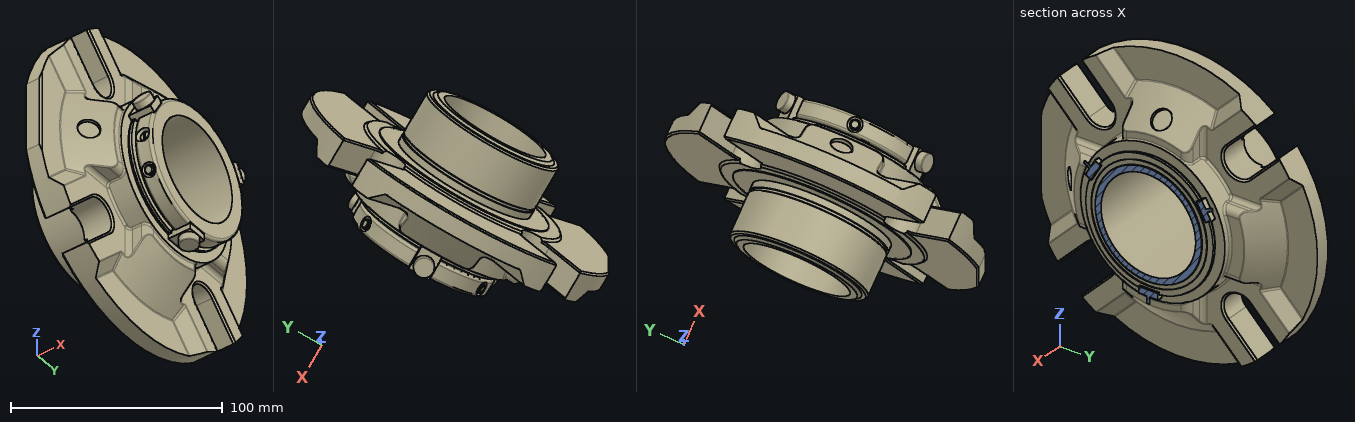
import cadquery as cq
import math


BORE_D = 55.0
SLEEVE_D = 71.7
SLEEVE_START = -30.8
NOSE_D = 66.0
NOSE_FACE_D = 62.5
NOSE_END = -29.5
SHOULDER_D = 69.9
SHOULDER_END = -28.5
GROOVE_START = -7.0
GROOVE_END = -5.3
GROOVE_D = 69.9

FLANGE_R = 82.5
FLANGE_FLAT_Y = -80.0
FLANGE_THICK = 9.4
FLANGE_CHAMFER = 0.8
FLAT_CHAMFER = 1.0
PILOT_D = 107.5
PILOT_FACE_D = 105.2
PILOT_HEIGHT = 1.2
INNER_PILOT_D = 92.2
INNER_PILOT_HEIGHT = 1.6

SLOT_W = 18.3
SLOT_CENTER_R = 57.9
PAD_TOP_X = 15.8
PAD_TOP_HALF_W = 19.8
PAD_CHAMFER = 1.0
SLOT_ANGLES = (45, 135, 225, 315)

GLAND_START = FLANGE_THICK / 2
HUB_D = 84.4
HUB_END = 28.4
CONE_APEX_X = 74.5
ARM_HALF_W = 20.0
ARM_END = 27.7
SHORT_ARM_END = 24.2
ARM_ROUND = 4.0
ARM_FOOT_ROUND = 2.5
ARM_EDGE_ROUND = 0.7
FOOT_ROUND = 0.8
PAD_FOOT_ROUND = 1.8
HUB_FOOT_ROUND = 1.2
TOLERANCE = 0.02
PORT_D = 11.0
PORT_AT_Y_X = 19.3
PORT_AT_Z_X = 21.6
PORT_DEPTH = 2.0

LIP_D = 73.0
LIP_END = 29.5
RING_D = 74.5
RING_END = 31.0
RING_STEP_D = 67.6
RING_STEP_END = 31.5
NECK_D = 62.5
COLLAR_D = 73.0
COLLAR_START = 32.0
COLLAR_END = 41.7
COLLAR_ROUND = 1.5

CLIP_ANGLES = (30, 150, 270)
CLIP_START = 28.8
CLIP_HALF_W = 5.6
CLIP_INNER_R = 35.5
CLIP_OUTER_R = 39.4
CLIP_HEAD_D = 10.0
CLIP_HEAD_TOP_R = 43.5
CLIP_HEAD_ROUND = 0.3
SCREW_X = 37.0
PART_END = SLEEVE_START + 72.7
CLIP_HEAD_X = PART_END - CLIP_HEAD_D / 2

SET_SCREW_ANGLES = (90, 210, 330)
SET_SCREW_SEAT_D = 7.6
SET_SCREW_D = 5.0
SET_SCREW_TIP_D = 3.8
SET_SCREW_TOP_R = 37.0
SLOTTED_SCREW_ANGLE = 180
SLOTTED_SEAT_D = 7.9
SLOTTED_SCREW_D = 5.0
SCREW_SEAT_DEPTH = 1.5
DRIVER_SLOT_W = 1.0
DRIVER_SLOT_DEPTH = 0.8


def disc(diameter, start, end):
    """Solid disc about the X axis between two X positions."""
    return cq.Workplane("YZ").workplane(offset=start).circle(diameter / 2).extrude(end - start)


def revolve_x(points):
    """Turn an (x, radius) outline about the X axis."""
    return cq.Workplane("XY").polyline(points).close().revolve(360, (0, 0, 0), (1, 0, 0))


def around_x(body, angle):
    """Turn a body made along +Y to an angle measured from +Y toward +Z."""
    return body.rotate((0, 0, 0), (1, 0, 0), angle)


def at_angles(body, angles):
    """One body made of copies turned from +Y to each angle."""
    copies = around_x(body, angles[0])
    for angle in angles[1:]:
        copies = copies.union(around_x(body, angle))
    return copies


def radial_plane(radius, x):
    """Workplane facing +Y at a given radius, with its X direction along the part axis."""
    return cq.Workplane(cq.Plane((x, radius, 0), xDir=(1, 0, 0), normal=(0, 1, 0)))


def cone_radius(x):
    """Radius of the 45 degree gland cone."""
    return CONE_APEX_X - x


def make_sleeve():
    return revolve_x([
        (SLEEVE_START, 0),
        (SLEEVE_START, NOSE_FACE_D / 2),
        (NOSE_END, NOSE_D / 2),
        (NOSE_END, SHOULDER_D / 2),
        (SHOULDER_END, SLEEVE_D / 2),
        (GROOVE_START, SLEEVE_D / 2),
        (GROOVE_START, GROOVE_D / 2),
        (GROOVE_END, GROOVE_D / 2),
        (GROOVE_END, SLEEVE_D / 2),
        (0, SLEEVE_D / 2),
        (0, 0),
    ])


def make_slots(flared):
    """Open-ended bolt slots with round inner ends; a flare bevels both rims of the flange."""
    outer_end = FLANGE_R + SLOT_W
    outline_center = (SLOT_CENTER_R + outer_end) / 2
    outline_length = outer_end - SLOT_CENTER_R + SLOT_W

    def outline(x):
        return cq.Workplane("YZ", origin=(x, outline_center, 0)).slot2D(outline_length, SLOT_W)

    slot = outline(-INNER_PILOT_HEIGHT).extrude(HUB_END + INNER_PILOT_HEIGHT)
    if flared:
        slot = slot.union(outline(PAD_TOP_X - PAD_CHAMFER).extrude(PAD_CHAMFER, taper=-45))
        slot = slot.union(outline(FLANGE_CHAMFER).extrude(-FLANGE_CHAMFER, taper=-45))
    return at_angles(slot, SLOT_ANGLES)


def make_pads():
    """Raised pads along each slot, with 45 degree sides down to the flange."""
    base_half_w = PAD_TOP_HALF_W + PAD_TOP_X - FLANGE_THICK
    pad = (
        cq.Workplane(cq.Plane((0, 0, 0), xDir=(0, 0, 1), normal=(0, 1, 0)))
        .polyline([
            (-base_half_w, 0),
            (-base_half_w, FLANGE_THICK),
            (-PAD_TOP_HALF_W, PAD_TOP_X),
            (PAD_TOP_HALF_W, PAD_TOP_X),
            (base_half_w, FLANGE_THICK),
            (base_half_w, 0),
        ])
        .close()
        .extrude(FLANGE_R + 1.6)
    )
    return at_angles(pad, SLOT_ANGLES).intersect(disc(2 * FLANGE_R, 0, PAD_TOP_X))


def make_flange():
    """Round flange with one flat, and its pads."""
    flange = disc(2 * FLANGE_R, 0, FLANGE_THICK).union(make_pads())
    keep = FLANGE_R - FLANGE_FLAT_Y
    trim = cq.Workplane("XY").box(3 * HUB_END, keep, 3 * FLANGE_R)
    flange = flange.intersect(trim.translate((0, FLANGE_FLAT_Y + keep / 2, 0)))
    flange = flange.faces("<X").edges().chamfer(FLANGE_CHAMFER)
    return flange.faces("<Y").edges(">X").chamfer(FLAT_CHAMFER)


def make_pilot():
    """Stepped locating face in front of the flange."""
    return revolve_x([
        (FLANGE_THICK, 0),
        (FLANGE_THICK, PILOT_D / 2),
        (0, PILOT_D / 2),
        (-PILOT_HEIGHT, PILOT_FACE_D / 2),
        (-PILOT_HEIGHT, INNER_PILOT_D / 2),
        (-INNER_PILOT_HEIGHT, INNER_PILOT_D / 2),
        (-INNER_PILOT_HEIGHT, 0),
    ])


def make_cone():
    return revolve_x([
        (GLAND_START, 0),
        (GLAND_START, cone_radius(FLANGE_THICK)),
        (FLANGE_THICK, cone_radius(FLANGE_THICK)),
        (ARM_END, cone_radius(ARM_END)),
        (ARM_END, 0),
    ])


def end_points(edge):
    """The (x, radius) pairs at both ends of an edge, sorted along the axis."""
    points = (edge.startPoint(), edge.endPoint())
    return sorted((point.x, math.hypot(point.y, point.z)) for point in points)


def on_cone(edge):
    """True when both ends of an edge lie on the gland cone."""
    return all(abs(radius - cone_radius(x)) < TOLERANCE for x, radius in end_points(edge))


def on_hub(edge):
    """True when both ends of an edge lie on the hub cylinder."""
    return all(abs(radius - HUB_D / 2) < TOLERANCE for x, radius in end_points(edge))


def fillet_where(body, radius, wanted):
    """Round every edge of a body that meets a condition."""
    return body.newObject(body.edges().filter(wanted).vals()).fillet(radius)


def blends_pad(edge):
    """Edge where the cone rises from the sides or the top of a pad."""
    return on_cone(edge) and FLANGE_THICK + TOLERANCE < end_points(edge)[1][0] < PAD_TOP_X + TOLERANCE


def blends_cone_foot(edge):
    """Edge where the cone rises from the flange itself."""
    return on_cone(edge) and end_points(edge)[1][0] < FLANGE_THICK + TOLERANCE


def bounds_arm_side(edge):
    """Edge between the cone and the flank of an arm."""
    low, high = end_points(edge)
    return on_cone(edge) and low[0] > PAD_TOP_X + 1.6 and high[0] - low[0] > 1.6


def bounds_pocket_bottom(edge):
    """Edge along the hub at the floor of a pocket."""
    return on_hub(edge) and end_points(edge)[0][0] < PAD_TOP_X + TOLERANCE


def make_side_cut(end_x):
    """Space beside the +Y arm, on its +Z side: concave foot, flat flank and rounded top."""
    turn = 1 - math.sqrt(0.5)
    flank_top = end_x - ARM_ROUND
    flank_foot = PAD_TOP_X + ARM_FOOT_ROUND
    return (
        cq.Workplane(cq.Plane((0, 0, 0), xDir=(0, 0, 1), normal=(0, 1, 0)))
        .moveTo(FLANGE_R, PAD_TOP_X)
        .lineTo(ARM_HALF_W + ARM_FOOT_ROUND, PAD_TOP_X)
        .threePointArc(
            (ARM_HALF_W + ARM_FOOT_ROUND * turn, PAD_TOP_X + ARM_FOOT_ROUND * turn),
            (ARM_HALF_W, flank_foot),
        )
        .lineTo(ARM_HALF_W, flank_top)
        .threePointArc(
            (ARM_HALF_W - ARM_ROUND * turn, end_x - ARM_ROUND * turn),
            (ARM_HALF_W - ARM_ROUND, end_x),
        )
        .lineTo(ARM_HALF_W - ARM_ROUND, HUB_END)
        .lineTo(FLANGE_R, HUB_END)
        .close()
        .extrude(FLANGE_R)
    )


def make_pocket(near_end, far_end):
    """Corner pocket between the +Y arm and the +Z arm, given the end position of each."""
    beside_far_arm = around_x(make_side_cut(far_end).mirror("XY"), 90)
    return make_side_cut(near_end).intersect(beside_far_arm)


def make_port(x):
    """Shallow round recess square to the cone, along +Y."""
    slope = math.sqrt(0.5)
    plane = cq.Plane((x, cone_radius(x), 0), xDir=(0, 0, 1), normal=(slope, slope, 0))
    return cq.Workplane(plane).circle(PORT_D / 2).extrude(PORT_D).union(
        cq.Workplane(plane).circle(PORT_D / 2).extrude(-PORT_DEPTH))


def cut_arms(body):
    """Cut the corner pockets into the cone and shorten the +Y arm."""
    arm_ends = (SHORT_ARM_END, ARM_END, ARM_END, ARM_END)
    for i in range(4):
        pocket = make_pocket(arm_ends[i], arm_ends[(i + 1) % 4])
        body = body.cut(around_x(pocket, 90 * i))
    short_arm_trim = cq.Workplane("YZ").workplane(offset=SHORT_ARM_END).center(FLANGE_R / 2, 0)
    return body.cut(short_arm_trim.rect(FLANGE_R, 2 * ARM_HALF_W).extrude(HUB_END))


def make_gland():
    """Flange and gland in one piece, with the bolt slots and the ports."""
    gland = make_flange().union(make_cone())
    gland = fillet_where(gland, PAD_FOOT_ROUND, blends_pad)
    gland = fillet_where(gland, FOOT_ROUND, blends_cone_foot)
    gland = fillet_where(cut_arms(gland), ARM_EDGE_ROUND, bounds_arm_side)
    gland = gland.union(disc(HUB_D, GLAND_START, HUB_END))
    gland = fillet_where(gland, HUB_FOOT_ROUND, bounds_pocket_bottom)
    gland = gland.cut(make_slots(flared=True))
    gland = gland.union(make_pilot().cut(make_slots(flared=False)))
    gland = gland.cut(around_x(make_port(PORT_AT_Z_X), 90))
    return gland.cut(around_x(make_port(PORT_AT_Y_X), 180))


def make_collar():
    neck = (
        disc(LIP_D, HUB_END, LIP_END)
        .union(disc(RING_D, LIP_END, RING_END))
        .union(disc(RING_STEP_D, RING_END, RING_STEP_END))
        .union(disc(NECK_D, RING_STEP_END, COLLAR_START))
    )
    collar = disc(COLLAR_D, COLLAR_START, COLLAR_END).edges().fillet(COLLAR_ROUND)
    return neck.union(collar)


def make_clip():
    """Setting clip along +Y: flat plate with a round screw head."""
    depth = CLIP_OUTER_R - CLIP_INNER_R
    middle_x = (CLIP_START + COLLAR_END) / 2
    plate = radial_plane(CLIP_INNER_R, middle_x).rect(COLLAR_END - CLIP_START, 2 * CLIP_HALF_W).extrude(depth)
    shank = radial_plane(NECK_D / 2, CLIP_HEAD_X).circle(CLIP_HALF_W / 2).extrude(CLIP_OUTER_R - NECK_D / 2)
    head = (
        radial_plane(CLIP_OUTER_R, CLIP_HEAD_X)
        .circle(CLIP_HEAD_D / 2)
        .extrude(CLIP_HEAD_TOP_R - CLIP_OUTER_R)
        .faces(">Y").edges().fillet(CLIP_HEAD_ROUND)
    )
    return plate.union(shank).union(head)


def make_seat(outer_d, inner_d):
    """Conical countersink along +Y in the collar surface."""
    bottom_r = COLLAR_D / 2 - SCREW_SEAT_DEPTH
    return (
        radial_plane(bottom_r, SCREW_X)
        .circle(inner_d / 2)
        .workplane(offset=SCREW_SEAT_DEPTH)
        .circle(outer_d / 2)
        .loft()
    )


def make_set_screw():
    bottom_r = COLLAR_D / 2 - 2 * SCREW_SEAT_DEPTH
    tip_chamfer = (SET_SCREW_D - SET_SCREW_TIP_D) / 2
    screw = radial_plane(bottom_r, SCREW_X).circle(SET_SCREW_D / 2).extrude(SET_SCREW_TOP_R - bottom_r)
    return screw.faces(">Y").edges().chamfer(tip_chamfer)


def make_driver_slot():
    top_r = COLLAR_D / 2 - SCREW_SEAT_DEPTH
    return radial_plane(top_r, SCREW_X).rect(DRIVER_SLOT_W, SLOTTED_SCREW_D).extrude(-DRIVER_SLOT_DEPTH)


body = make_gland().union(make_sleeve()).union(make_collar())
for angle in SET_SCREW_ANGLES:
    body = body.cut(around_x(make_seat(SET_SCREW_SEAT_D, SET_SCREW_D), angle))
    body = body.union(around_x(make_set_screw(), angle))
body = body.cut(around_x(make_seat(SLOTTED_SEAT_D, SLOTTED_SCREW_D), SLOTTED_SCREW_ANGLE))
body = body.cut(around_x(make_driver_slot(), SLOTTED_SCREW_ANGLE))
for angle in CLIP_ANGLES:
    body = body.union(around_x(make_clip(), angle))
result = body.cut(disc(BORE_D, SLEEVE_START, COLLAR_END))